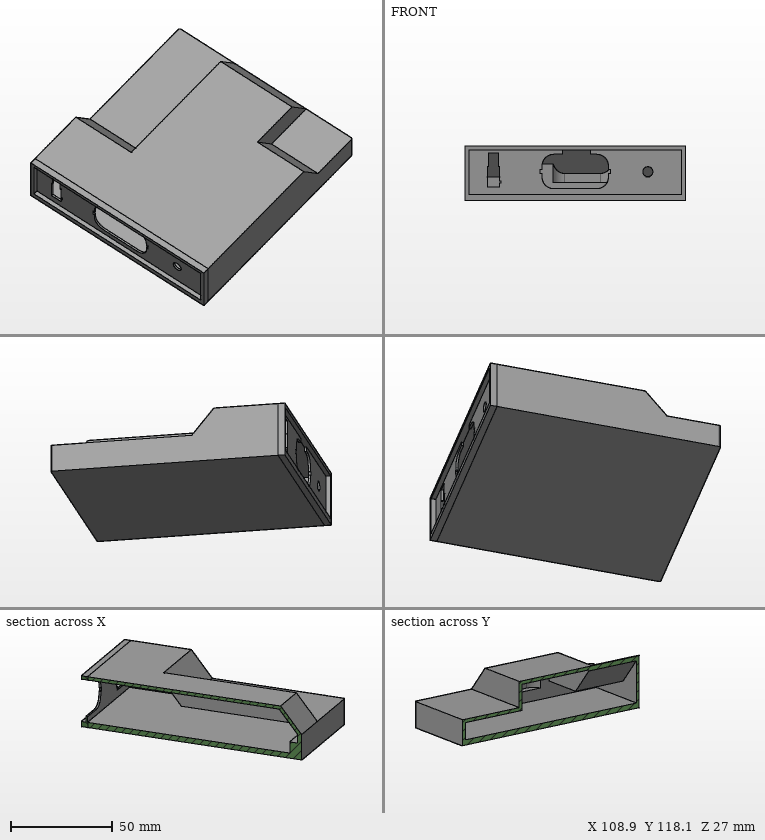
import cadquery as cq
import math

width = 108.9
depth = 118.1
height = 27.0

wall = 2.0
floor = 3.0

low_height = 13.6
ramp_run = 11.2
left_step_x = 34.8
right_step_x = 79.7
left_ramp_y = 35.8
middle_ramp_y = depth - ramp_run
right_ramp_y = 79.4
corner_radius = 1.0

rear_wall = 6.4
pocket_depth = 3.9
pocket_left_x = 43.6
pocket_width = 28.9
pocket_floor = 8.9
pocket_radius = 6.0

panel_depth = 3.4
panel_recess = 2.4

socket_x = width / 2
socket_z = 14.4
socket_width = 32.7
socket_height = 17.0
socket_radius = 5.8
key_x = 55.0
key_width = 13.7
clip_width = 34.6
clip_height = 1.9

switch_x = 14.2
switch_bottom = 6.9
switch_shoulder = 16.8
switch_top = 23.5
switch_width = 6.0
switch_neck_width = 5.0
switch_notch = 0.6
switch_notch_height = 1.2
switch_notch_z = 9.2

indicator_x = 90.2
indicator_z = 14.3
indicator_diameter = 5.0

ramp_angle = math.atan2(height - low_height, ramp_run)
roof_shift = wall * math.tan(ramp_angle / 2)
rear_wall_y = depth - rear_wall

inner_left_x = left_step_x + wall
inner_right_x = right_step_x - wall

panel_y = (0, panel_depth)


def span(center, length):
    """Range of the given length about its center."""
    return (center - length / 2, center + length / 2)


def box(x_range, y_range, z_range):
    """Box that fills the given (start, end) ranges."""
    lengths = [end - start for start, end in (x_range, y_range, z_range)]
    return cq.Workplane().box(*lengths, centered=False).translate((x_range[0], y_range[0], z_range[0]))


def roof_strip(x_range, ramp_y, bottom, top, low):
    """Strip behind the front panel, flat at top up to ramp_y and then ramped down to low."""
    outline = [(panel_depth, bottom), (panel_depth, top), (ramp_y, top), (ramp_y + ramp_run, low)]
    if ramp_y + ramp_run < depth:
        outline.append((depth, low))
    outline.append((depth, bottom))
    strip = cq.Workplane("YZ").polyline(outline).close().extrude(x_range[1] - x_range[0])
    return strip.translate((x_range[0], 0, 0))


def outer_block():
    """Outside of the housing: three roof strips side by side, with the two upright rear corners rounded."""
    left = roof_strip((0, left_step_x), left_ramp_y, 0, height, low_height)
    middle = roof_strip((left_step_x, right_step_x), middle_ramp_y, 0, height, low_height)
    right = roof_strip((right_step_x, width), right_ramp_y, 0, height, low_height)
    block = left.union(middle).union(right).clean()
    return block.edges("|Z and >Y").fillet(corner_radius)


def inner_strip(x_range, ramp_y):
    """Hollow under one roof strip, its ceiling one wall below the roof."""
    return roof_strip(x_range, ramp_y - roof_shift, floor, height - wall, low_height - wall)


def cavity():
    """Hollow of the housing, open at the front and closed by the thick rear wall."""
    left = inner_strip((wall, inner_left_x), left_ramp_y)
    middle = inner_strip((inner_left_x, inner_right_x), middle_ramp_y)
    right = inner_strip((inner_right_x, width - wall), right_ramp_y)
    before_wall = box((0, width), (0, rear_wall_y), (0, height))
    return left.union(middle).union(right).intersect(before_wall)


def rear_pocket():
    """Round-cornered pocket in the rear wall, under the middle ramp."""
    back = rear_wall_y + pocket_depth
    overhang = pocket_radius - math.sqrt(pocket_radius**2 - (pocket_radius - pocket_depth) ** 2)
    pocket = box(
        (pocket_left_x - overhang, pocket_left_x + pocket_width + overhang),
        (back - 2 * pocket_radius, back),
        (pocket_floor, height),
    )
    pocket = pocket.edges("|Z and >Y").fillet(pocket_radius)
    under_ramp = inner_strip((inner_left_x, inner_right_x), middle_ramp_y)
    behind_wall = box((0, width), (rear_wall_y, depth), (0, height))
    return pocket.intersect(under_ramp).intersect(behind_wall)


def make_housing():
    """Hollow housing with the rounded pocket in its rear wall."""
    return outer_block().cut(cavity()).cut(rear_pocket())


def socket_opening():
    """Rounded socket cutout with its key slot and clip notches."""
    middle = box(span(socket_x, socket_width), panel_y, span(socket_z, socket_height))
    key = box(span(key_x, key_width), panel_y, (socket_z, height - wall))
    clips = box(span(socket_x, clip_width), panel_y, span(socket_z, clip_height))
    return middle.edges("|Y").fillet(socket_radius).union(key).union(clips)


def switch_slot():
    """Slot with a narrower neck above its shoulder and a notch on the right."""
    right = switch_x + switch_width / 2
    lower = box((switch_x - switch_width / 2, right), panel_y, (switch_bottom, switch_shoulder))
    neck = box(span(switch_x, switch_neck_width), panel_y, (switch_bottom, switch_top))
    notch = box((switch_x, right + switch_notch), panel_y, span(switch_notch_z, switch_notch_height))
    return lower.union(neck).union(notch)


def indicator_hole():
    """Round hole through the plate."""
    hole = cq.Workplane("XZ").center(indicator_x, indicator_z).circle(indicator_diameter / 2)
    return hole.extrude(-panel_depth)


def make_front_panel():
    """Rim and recessed plate with their openings."""
    panel = box((0, width), (0, panel_depth), (0, height))
    recess = box((wall, width - wall), (0, panel_recess), (floor, height - wall))
    return panel.cut(recess).cut(socket_opening()).cut(switch_slot()).cut(indicator_hole())


housing = make_housing()
front_panel = make_front_panel()
result = cq.Compound.makeCompound([housing.val(), front_panel.val()])